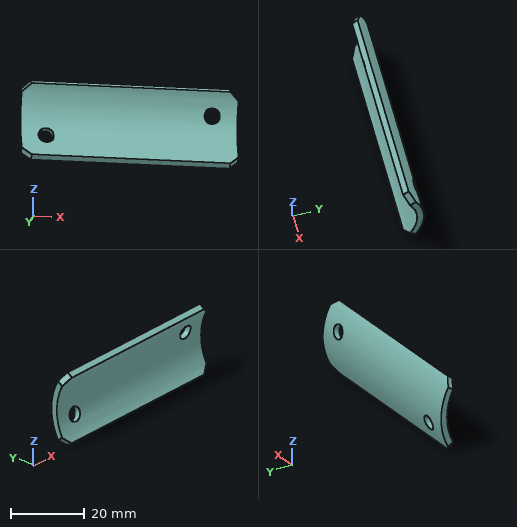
import cadquery as cq
import math

length = 60.0
height = 22.4
thickness = 2.0
outer_radius = 18.8
inner_radius = outer_radius - thickness
half_angle = math.asin(height / 2 / outer_radius)

corner_chamfer = 2.5

hole_diameter = 4.2
hole_end_distance = 7.0
hole_tilt = math.radians(12.8)


def arc_point(radius, angle):
    """Point in the YZ plane at an angle from +Y about the curvature axis."""
    return (radius * math.cos(angle), radius * math.sin(angle))


def curved_plate():
    return (
        cq.Workplane("YZ", origin=(-length / 2, 0, 0))
        .moveTo(*arc_point(outer_radius, -half_angle))
        .threePointArc(arc_point(outer_radius, 0), arc_point(outer_radius, half_angle))
        .lineTo(*arc_point(inner_radius, half_angle))
        .threePointArc(arc_point(inner_radius, 0), arc_point(inner_radius, -half_angle))
        .close()
        .extrude(length)
    )


def radial_hole(x, angle):
    """Cutter running outward from the curvature axis, through the plate."""
    direction = cq.Vector(0, math.cos(angle), math.sin(angle))
    start = cq.Vector(x, 0, 0)
    cutter_length = outer_radius + thickness
    return cq.Solid.makeCylinder(hole_diameter / 2, cutter_length, start, direction)


corner_edges = cq.selectors.LengthNthSelector(0)
result = curved_plate().edges(corner_edges).chamfer(corner_chamfer)

for side in (-1, 1):
    hole_x = side * (length / 2 - hole_end_distance)
    result = result.cut(radial_hole(hole_x, side * hole_tilt))